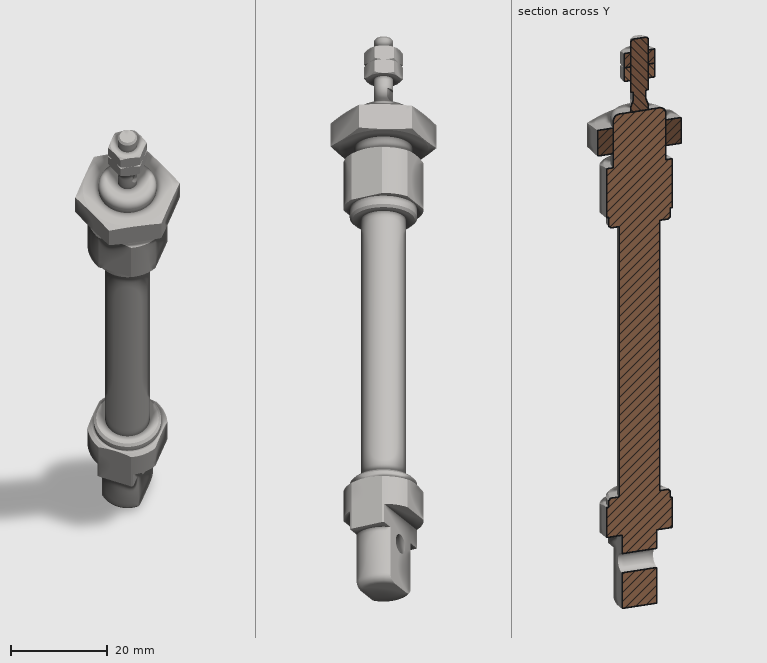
import cadquery as cq
import math


total_height = 126.0
tang_hole_height = 10.1
slab_bottom = 12.1
rear_cap_bottom = 16.3
rear_cap_top = 23.0
rear_collar_top = 25.0
front_collar_bottom = 84.8
front_cap_bottom = 87.2
front_cap_top = 98.2
mounting_nut_bottom = 101.2
neck_top = 109.9
rod_nuts_bottom = 116.8

tube_diameter = 9.3
cap_width = 15.0
cap_corner_diameter = 16.6
cap_chamfer_angle = 30.0
collar_diameter = 14.0
collar_chamfer = 0.5
neck_diameter = 12.0
neck_fillet = 1.5
tang_thickness = 8.0
tang_hole_diameter = 4.2

rod_diameter = 4.0
rod_tip_diameter = 3.3
rod_tip_length = 0.5
rod_flat_thickness = 3.0
rod_flat_top = 114.2
rod_flat_bottom = 112.3
rod_flat_runout_bottom = 111.0

mounting_nut_width = 19.0
mounting_nut_height = 5.8
mounting_nut_face_diameter = 18.5
mounting_nut_chamfer_angle = 10.0
rod_nut_count = 2
rod_nut_width = 7.0
rod_nut_height = 3.2
rod_nut_face_diameter = 7.0
rod_nut_chamfer_angle = 30.0


def cylinder(diameter, bottom, top):
    return cq.Workplane("XY").workplane(offset=bottom).circle(diameter / 2).extrude(top - bottom)


def cone_chamfered_envelope(outer_diameter, face_diameter, angle, bottom, top, both_ends):
    """Round blank whose top edge, and bottom edge if asked, is turned to a shallow cone."""
    outer = outer_diameter / 2
    face = face_diameter / 2
    drop = (outer - face) * math.tan(math.radians(angle))
    profile = cq.Workplane("XZ").moveTo(0, bottom)
    if both_ends:
        profile = profile.lineTo(face, bottom).lineTo(outer, bottom + drop)
    else:
        profile = profile.lineTo(outer, bottom)
    profile = profile.lineTo(outer, top - drop).lineTo(face, top).lineTo(0, top).close()
    return profile.revolve(360, (0, 0, 0), (0, 1, 0))


def make_nut(width, height, face_diameter, chamfer_angle, bore_diameter, bottom):
    """Hexagon nut with two flats facing +X and -X and chamfered corners at both ends."""
    corner_diameter = width / math.cos(math.radians(30))
    hexagon = (
        cq.Workplane("XY")
        .workplane(offset=bottom)
        .transformed(rotate=(0, 0, 30))
        .polygon(6, corner_diameter)
        .extrude(height)
    )
    top = bottom + height
    envelope = cone_chamfered_envelope(
        corner_diameter, face_diameter, chamfer_angle, bottom, top, both_ends=True
    )
    return hexagon.intersect(envelope).cut(cylinder(bore_diameter, bottom, top))


def make_cap(bottom, top):
    """Square cap with rounded corners, chamfered around its top."""
    square = (
        cq.Workplane("XY").workplane(offset=bottom).rect(cap_width, cap_width).extrude(top - bottom)
    )
    envelope = cone_chamfered_envelope(
        cap_corner_diameter, cap_width, cap_chamfer_angle, bottom, top, both_ends=False
    )
    return square.intersect(envelope)


def make_rear_end():
    """Rear cap and round tang, both flattened on +X and -X below the cap, with a cross hole."""
    cap = make_cap(slab_bottom, rear_cap_top)
    tang = cylinder(neck_diameter, 0, rear_cap_bottom).faces("<Z").edges().fillet(neck_fillet)
    collar = cylinder(collar_diameter, rear_cap_top, rear_collar_top)
    collar = collar.faces(">Z").chamfer(collar_chamfer)
    flat_slab = cq.Workplane("XY").rect(tang_thickness, cap_width).extrude(rear_cap_bottom)
    flattened_zone = (
        cq.Workplane("XY").rect(cap_width, cap_width).extrude(rear_cap_bottom).cut(flat_slab)
    )
    cross_hole = (
        cq.Workplane("YZ")
        .center(0, tang_hole_height)
        .circle(tang_hole_diameter / 2)
        .extrude(tang_thickness, both=True)
    )
    return cap.union(tang).cut(flattened_zone).cut(cross_hole).union(collar)


def make_front_end():
    """Front cap with a collar towards the tube and a round neck that carries the mounting nut."""
    collar = cylinder(collar_diameter, front_collar_bottom, front_cap_bottom)
    collar = collar.faces("<Z").chamfer(collar_chamfer)
    neck = cylinder(neck_diameter, front_cap_top, neck_top).faces(">Z").edges().fillet(neck_fillet)
    return make_cap(front_cap_bottom, front_cap_top).union(collar).union(neck)


def make_housing():
    tube = cylinder(tube_diameter, rear_collar_top, front_collar_bottom)
    return make_rear_end().union(tube).union(make_front_end())


def make_rod():
    """Rod standing on the neck, with a wrench flat on +X and on -X that runs out on a slope."""
    tip_inset = (rod_diameter - rod_tip_diameter) / 2
    rod = cylinder(rod_diameter, neck_top, total_height)
    rod = rod.faces(">Z").chamfer(rod_tip_length, tip_inset)
    flat_x = rod_flat_thickness / 2
    edge_x = rod_diameter / 2
    flat_cut = (
        cq.Workplane("XZ")
        .moveTo(edge_x, rod_flat_top)
        .lineTo(flat_x, rod_flat_top)
        .lineTo(flat_x, rod_flat_bottom)
        .lineTo(edge_x, rod_flat_runout_bottom)
        .close()
        .extrude(rod_diameter, both=True)
    )
    return rod.cut(flat_cut).cut(flat_cut.mirror("YZ"))


housing = make_housing()
rod = make_rod()
mounting_nut = make_nut(
    mounting_nut_width,
    mounting_nut_height,
    mounting_nut_face_diameter,
    mounting_nut_chamfer_angle,
    neck_diameter,
    mounting_nut_bottom,
)
rod_nuts = [
    make_nut(
        rod_nut_width,
        rod_nut_height,
        rod_nut_face_diameter,
        rod_nut_chamfer_angle,
        rod_diameter,
        rod_nuts_bottom + index * rod_nut_height,
    )
    for index in range(rod_nut_count)
]

result = cq.Compound.makeCompound(
    [housing.val(), rod.val(), mounting_nut.val(), *[nut.val() for nut in rod_nuts]]
)